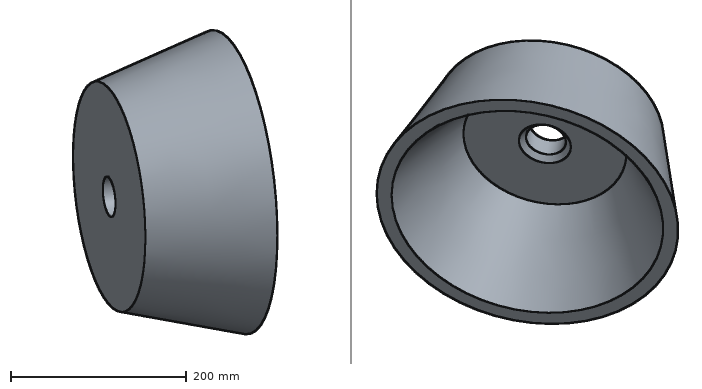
import cadquery as cq

large_diameter = 350.0
small_diameter = 265.3
height = 145.0

bore_diameter = 46.2
bore_chamfer = 7.0
front_wall = 30.8

cavity_floor_diameter = 189.0
cavity_mouth_diameter = 315.0

front_y = -height / 2
back_y = height / 2
floor_y = front_y + front_wall
bore_radius = bore_diameter / 2

half_section = [
    (bore_radius, front_y),
    (small_diameter / 2, front_y),
    (large_diameter / 2, back_y),
    (cavity_mouth_diameter / 2, back_y),
    (cavity_floor_diameter / 2, floor_y),
    (bore_radius + bore_chamfer, floor_y),
    (bore_radius, floor_y - bore_chamfer),
]

axis_start = (0, 0, 0)
axis_end = (0, 1, 0)
result = cq.Workplane("XY").polyline(half_section).close().revolve(360, axis_start, axis_end)